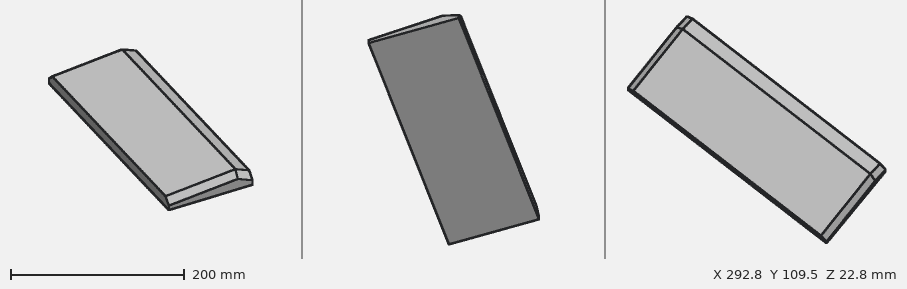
import cadquery as cq

length = 292.8
depth = 109.5
height = 22.8

front_height = 14.5
back_height = 15.2
ridge_to_back = 18.2

end_chamfer = 8.2

front_y = -depth / 2
back_y = depth / 2
ridge_y = back_y - ridge_to_back

side_profile = [
    (front_y, 0),
    (back_y, 0),
    (back_y, back_height),
    (ridge_y, height),
    (front_y, front_height),
]
body = cq.Workplane("YZ").polyline(side_profile).close().extrude(length / 2, both=True)

end_faces = body.faces("<X or >X")
result = end_faces.edges("not(|Z or <Z)").chamfer(end_chamfer)